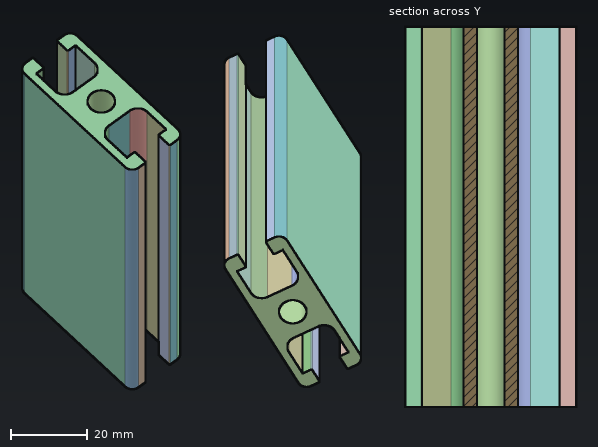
import cadquery as cq

width = 45.0
depth = 18.5
length = 100.0
outer_corner_radius = 2.5

bore_diameter = 7.2

core_width = 14.4
wall_thickness = 2.4
lip_thickness = 4.5
slot_opening = 8.2
channel_corner_radius = 3.2
lip_edge_radius = 0.3

channel_height = depth - 2 * wall_thickness
channel_inner_x = core_width / 2
channel_outer_x = width / 2 - lip_thickness
channel_width = channel_outer_x - channel_inner_x


def make_body():
    """Bar with rounded long edges, centred on the origin."""
    return cq.Workplane("XY").box(width, depth, length).edges("|Z").fillet(outer_corner_radius)


def make_channel(side):
    """Wide inner chamber of a slot, rounded where it meets the core."""
    core_edges = "<X" if side > 0 else ">X"
    return (
        cq.Workplane("XY")
        .box(channel_width, channel_height, length)
        .faces(core_edges)
        .edges("|Z")
        .fillet(channel_corner_radius)
        .translate((side * (channel_inner_x + channel_outer_x) / 2, 0, 0))
    )


def make_opening(side):
    """Narrow mouth of a slot between its two lips."""
    return (
        cq.Workplane("XY")
        .box(lip_thickness, slot_opening, length)
        .translate((side * (width - lip_thickness) / 2, 0, 0))
    )


def lip_edges(body):
    """Select the long edges on both corners of each lip at the slot mouth."""
    margin = lip_edge_radius / 2
    edges = body.edges("|Z")
    half_opening = slot_opening / 2

    def at_mouth(edge):
        centre = edge.Center()
        beyond_channel = abs(centre.x) > channel_outer_x - margin
        on_opening = abs(abs(centre.y) - half_opening) < margin
        return beyond_channel and on_opening

    return edges.filter(at_mouth)


result = make_body()
for side in (-1, 1):
    result = result.cut(make_channel(side)).cut(make_opening(side))
result = lip_edges(result).fillet(lip_edge_radius)
result = result.faces(">Z").workplane(origin=(0, 0, 0)).hole(bore_diameter)